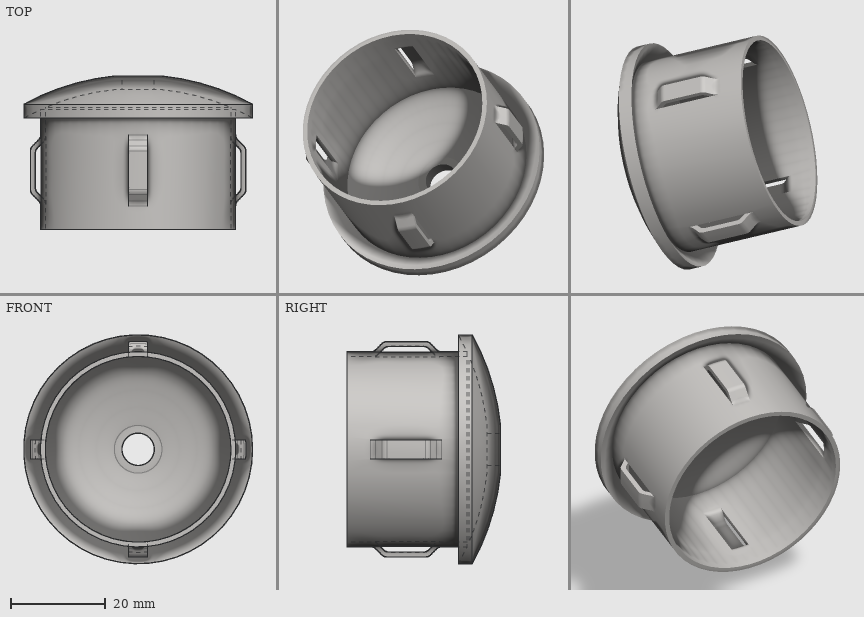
import cadquery as cq
import math

total_height = 32.4

cover_radius = 24.15
cover_thickness = 2.9
dome_rise = 6.0
flat_radius = 5.0
hole_radius = 3.4
rim_top = total_height - dome_rise
rim_bottom = rim_top - cover_thickness

wall = 1.0
tube_radius = 20.58
bore_radius = tube_radius - wall

strap_width = 4.0
strap_length = 14.95
strap_start = 5.0
strap_rise = 2.15
strap_bend = 1.5
strap_middle = strap_start + strap_length / 2
ramp_angle = math.radians(45)
bend_run = strap_bend * math.sin(ramp_angle)
bend_climb = strap_bend * (1 - math.cos(ramp_angle))
ramp_climb = strap_rise - 2 * bend_climb
ramp_run = ramp_climb / math.tan(ramp_angle)
inner_shift = wall * math.tan(ramp_angle / 2)

sphere_depth = (cover_radius**2 - flat_radius**2 - dome_rise**2) / (2 * dome_rise)
sphere_radius = math.hypot(cover_radius, sphere_depth)


def bulge_height(radius):
    """Height of the spherical surface above its rim at a distance from the axis."""
    return math.sqrt(sphere_radius**2 - radius**2) - sphere_depth


def revolve_about_axis(profile):
    return profile.close().revolve(360, (0, 0), (0, 1))


def solid_under_dome(rim_y, radius):
    """Round body of the given radius, from y = 0 up to a dome whose rim lies at rim_y."""
    middle_radius = (flat_radius + radius) / 2
    profile = (
        cq.Workplane("XY")
        .moveTo(0, 0)
        .lineTo(radius, 0)
        .lineTo(radius, rim_y + bulge_height(radius))
        .threePointArc(
            (middle_radius, rim_y + bulge_height(middle_radius)),
            (flat_radius, rim_y + dome_rise),
        )
        .lineTo(0, rim_y + dome_rise)
    )
    return revolve_about_axis(profile)


def cylinder(radius, height):
    return cq.Workplane("XZ").circle(radius).extrude(-height)


def strap_cross():
    """Two crossed bars over the length of the straps, marking their four places."""
    bar_length = 2 * cover_radius
    bar_x = cq.Workplane("XY").box(bar_length, strap_length, strap_width)
    bar_z = cq.Workplane("XY").box(strap_width, strap_length, bar_length)
    return bar_x.union(bar_z).translate((0, strap_middle, 0))


def half_strap_ring():
    """Full ring with the strap's section, from its foot at the open end to its middle."""
    crest_start = strap_start + 2 * bend_run + ramp_run
    profile = (
        cq.Workplane("XY")
        .moveTo(bore_radius, strap_start)
        .lineTo(tube_radius, strap_start)
        .radiusArc((tube_radius + bend_climb, strap_start + bend_run), strap_bend)
        .line(ramp_climb, ramp_run)
        .radiusArc((tube_radius + strap_rise, crest_start), -strap_bend)
        .lineTo(tube_radius + strap_rise, strap_middle)
        .line(-wall, 0)
        .lineTo(bore_radius + strap_rise, crest_start + inner_shift)
        .radiusArc(
            (bore_radius + strap_rise - bend_climb, crest_start + inner_shift - bend_run),
            strap_bend,
        )
        .line(-ramp_climb, -ramp_run)
        .radiusArc((bore_radius, strap_start + inner_shift), -strap_bend)
    )
    return revolve_about_axis(profile)


cover = solid_under_dome(rim_top, cover_radius).cut(solid_under_dome(rim_bottom, cover_radius))
tube = solid_under_dome(rim_bottom, tube_radius).cut(cylinder(bore_radius, total_height))
cap = cover.union(tube).cut(cylinder(hole_radius, total_height))

cross = strap_cross()
lower_half = half_strap_ring()
upper_half = lower_half.mirror("XZ").translate((0, 2 * strap_middle, 0))
straps = lower_half.union(upper_half).intersect(cross)
result = cap.cut(cross).union(straps)